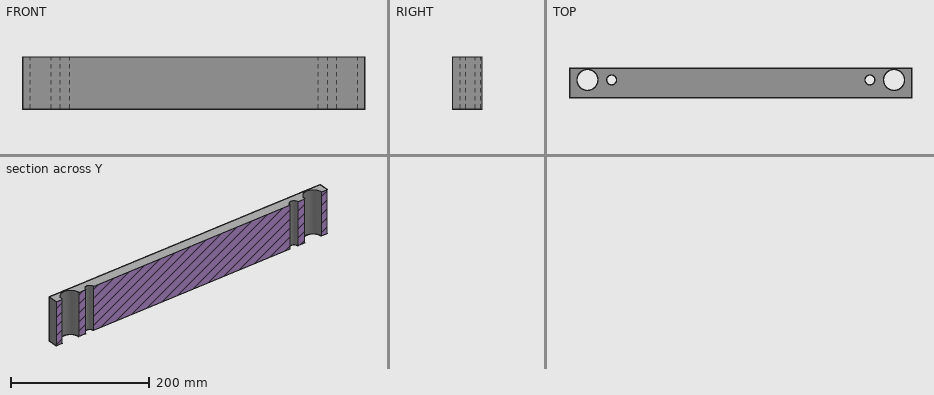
import cadquery as cq

length = 496.0
width = 43.0
height = 76.0

hole_line_offset = 4.5
large_hole_diameter = 30.0
large_hole_spacing = 444.0
small_hole_diameter = 14.0
small_hole_spacing = 374.0


def drill_pair(body, diameter, spacing):
    """Drill two vertical through holes, placed symmetrically about X = 0."""
    centers = [(side * spacing / 2, hole_line_offset) for side in (-1, 1)]
    return (
        body.faces(">Z")
        .workplane(origin=(0, 0, 0))
        .pushPoints(centers)
        .hole(diameter)
    )


bar = cq.Workplane("XY").box(length, width, height)
bar = drill_pair(bar, large_hole_diameter, large_hole_spacing)
result = drill_pair(bar, small_hole_diameter, small_hole_spacing)